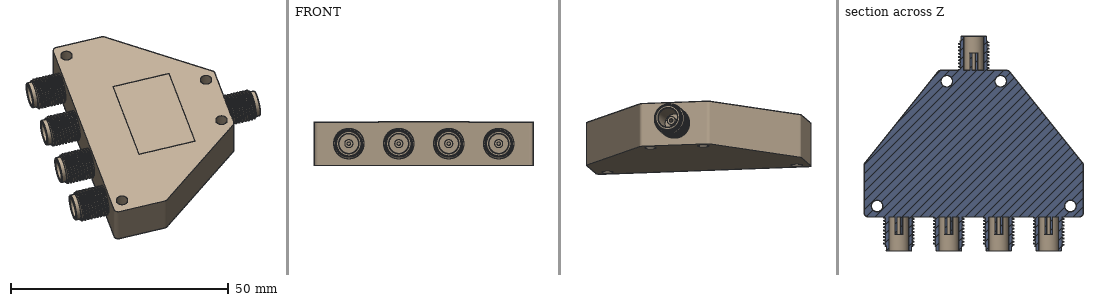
import cadquery as cq

BODY_WIDTH = 50.5
BODY_LENGTH = 33.8
BODY_HEIGHT = 10.0
BODY_TOP_WIDTH = 16.0
BODY_SIDE_LENGTH = 12.25
CORNER_RADIUS = 1.0

HOLE_DIAMETER = 2.6
HOLE_INSET = 2.54
FRONT_HOLE_X = 22.25
REAR_HOLE_X = 6.2

LABEL_WIDTH = 20.8
LABEL_LENGTH = 13.45
LABEL_THICKNESS = 0.08

OUTPUT_COUNT = 4
OUTPUT_PITCH = 11.5
AXIS_HEIGHT = (BODY_HEIGHT + LABEL_THICKNESS) / 2
CONNECTOR_LENGTH = 7.855
NOSE_LENGTH = 1.1
NOSE_RADIUS = 2.95
NOSE_CHAMFER = 0.15
CORE_RADIUS = 3.1
BORE_RADIUS = 2.25
BORE_CHAMFER = 0.1
PIN_RADIUS = 0.93
PIN_HOLE_RADIUS = 0.4
PIN_HEIGHT = 4.0

THREAD_RADIUS = 3.5
THREAD_PITCH = 0.75
THREAD_CREST = 0.15
THREAD_BASE = 0.55
THREAD_OVERLAP = 0.1
THREAD_START = -0.3
THREAD_TURNS = 10
THREAD_END_CHAMFER = 0.4
THREAD_CLEARANCE = 0.1


def make_body():
    half_width = BODY_WIDTH / 2
    half_length = BODY_LENGTH / 2
    shoulder_y = BODY_SIDE_LENGTH - half_length
    outline = [
        (-half_width, -half_length),
        (half_width, -half_length),
        (half_width, shoulder_y),
        (BODY_TOP_WIDTH / 2, half_length),
        (-BODY_TOP_WIDTH / 2, half_length),
        (-half_width, shoulder_y),
    ]
    body = cq.Workplane("XY").polyline(outline).close().extrude(BODY_HEIGHT)
    return body.edges("|Z").fillet(CORNER_RADIUS)


def make_label():
    plate = cq.Workplane("XY").workplane(offset=BODY_HEIGHT)
    return plate.rect(LABEL_WIDTH, LABEL_LENGTH).extrude(LABEL_THICKNESS)


def make_mounting_holes():
    hole_y = BODY_LENGTH / 2 - HOLE_INSET
    centres = []
    for side in (-1, 1):
        centres.append((side * FRONT_HOLE_X, -hole_y))
        centres.append((side * REAR_HOLE_X, hole_y))
    return cq.Workplane("XY").pushPoints(centres).circle(HOLE_DIAMETER / 2).extrude(BODY_HEIGHT)


def make_thread():
    """Right-handed helical ridge around Z."""
    root_radius = CORE_RADIUS - THREAD_OVERLAP
    helix = cq.Wire.makeHelix(THREAD_PITCH, THREAD_PITCH * THREAD_TURNS, root_radius)
    ridge = [
        (root_radius, -THREAD_BASE / 2),
        (THREAD_RADIUS, -THREAD_CREST / 2),
        (THREAD_RADIUS, THREAD_CREST / 2),
        (root_radius, THREAD_BASE / 2),
    ]
    profile = cq.Workplane("XZ").polyline(ridge).close()
    return profile.sweep(cq.Workplane(helix), isFrenet=True).translate((0, 0, THREAD_START))


def make_connector():
    """Connector standing on the XY plane and pointing along +Z."""
    thread_length = CONNECTOR_LENGTH - NOSE_LENGTH
    envelope = cq.Workplane("XY").circle(THREAD_RADIUS + THREAD_CLEARANCE).extrude(thread_length)
    envelope = envelope.faces(">Z").chamfer(THREAD_END_CHAMFER + THREAD_CLEARANCE)
    core = cq.Workplane("XY").circle(CORE_RADIUS).extrude(thread_length)
    shank = core.union(make_thread().intersect(envelope))
    nose = cq.Workplane("XY").circle(NOSE_RADIUS).extrude(CONNECTOR_LENGTH)
    nose = nose.faces(">Z").chamfer(NOSE_CHAMFER)
    bore = cq.Workplane("XY").circle(BORE_RADIUS).extrude(CONNECTOR_LENGTH)
    rim_plane = cq.Workplane("XY").workplane(offset=CONNECTOR_LENGTH - BORE_CHAMFER)
    lead_in = rim_plane.circle(BORE_RADIUS).workplane(offset=BORE_CHAMFER)
    lead_in = lead_in.circle(BORE_RADIUS + BORE_CHAMFER).loft()
    pin = cq.Workplane("XY").circle(PIN_RADIUS).circle(PIN_HOLE_RADIUS).extrude(PIN_HEIGHT)
    return shank.union(nose).cut(bore).cut(lead_in).union(pin)


def place_outputs(connector):
    facing_front = connector.rotate((0, 0, 0), (1, 0, 0), 90)
    first_x = -OUTPUT_PITCH * (OUTPUT_COUNT - 1) / 2
    return [
        facing_front.translate((first_x + i * OUTPUT_PITCH, -BODY_LENGTH / 2, AXIS_HEIGHT))
        for i in range(OUTPUT_COUNT)
    ]


def place_input(connector):
    facing_rear = connector.rotate((0, 0, 0), (1, 0, 0), -90)
    return facing_rear.translate((0, BODY_LENGTH / 2, AXIS_HEIGHT))


connector = make_connector()
result = make_body().union(make_label()).cut(make_mounting_holes())
for placed in place_outputs(connector) + [place_input(connector)]:
    result = result.union(placed)